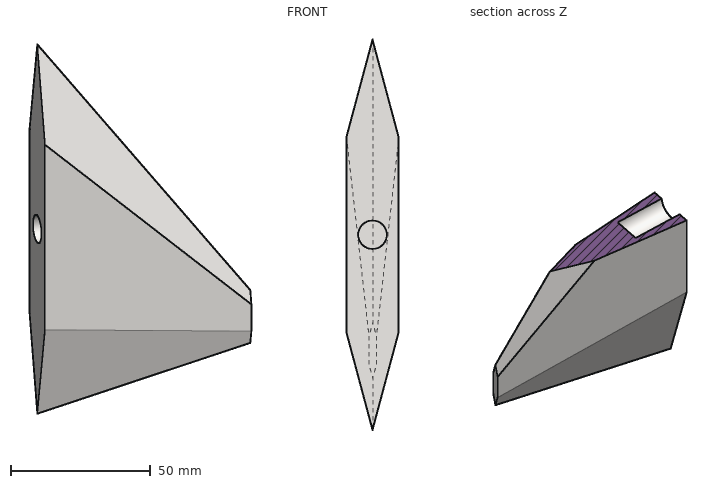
import cadquery as cq

height = 140.0
width = 18.8
depth = 80.0

tip_scale = 1 / 7
tip_drop = 41.3

hole_diameter = 10.2
hole_depth = 20.0


def hexagon(plane, scale):
    """Pointed hexagon whose straight sides span half of its height."""
    half_width = scale * width / 2
    half_height = scale * height / 2
    half_side = half_height / 2
    return plane.polyline([
        (0, half_height),
        (half_width, half_side),
        (half_width, -half_side),
        (0, -half_height),
        (-half_width, -half_side),
        (-half_width, half_side),
    ]).close()


base = hexagon(cq.Workplane("XZ"), 1)
tip_plane = base.workplane(offset=-depth).center(0, -tip_drop)
body = hexagon(tip_plane, tip_scale).loft(ruled=True)

hole = cq.Workplane("XZ").circle(hole_diameter / 2).extrude(-hole_depth)

result = body.cut(hole)